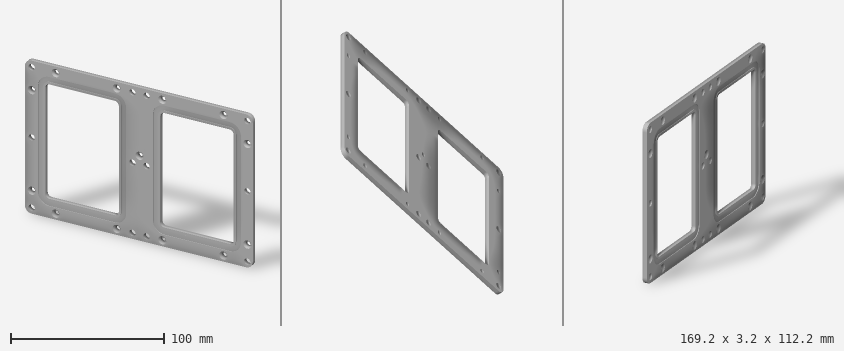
import cadquery as cq

plate_width = 169.2
plate_height = 112.2
plate_thickness = 3.2
plate_corner_radius = 5.0
front_y = -plate_thickness / 2

window_width = 54.5
window_height = 84.0
window_corner_radius = 3.0
window_offset_x = 42.6
rim_width = 1.7
groove_width = 3.7
groove_depth = 0.5

pattern_x = 0.5
hole_pattern_z = -0.2

hole_diameter = 4.5
screw_diameter = 3.4
countersink_diameter = 6.0
countersink_angle = 90.0
hole_inset = 4.5
column_x = plate_width / 2 - hole_inset
row_z = plate_height / 2 - hole_inset
middle_column_x = 5.2
screw_inner_x = 17.0
screw_outer_x = 62.3
screw_side_z = 36.9
screw_side_shift_z = -2.2
center_screw_z = 6.3


def rounded_block(width, height, radius, depth, center_x=0.0):
    """Block with rounded corners, reaching from the front face back by depth."""
    return (
        cq.Workplane("XY")
        .box(width, depth, height)
        .edges("|Y")
        .fillet(radius)
        .translate((center_x, front_y + depth / 2, 0))
    )


def window_block(margin, depth, center_x):
    """Window outline grown by margin on every side."""
    return rounded_block(
        window_width + 2 * margin,
        window_height + 2 * margin,
        window_corner_radius + margin,
        depth,
        center_x,
    )


def front_points(body, points):
    """Select drilling positions, given as (x, z), on the front face."""
    front_plane = cq.Workplane("XZ", origin=(pattern_x, front_y, hole_pattern_z))
    return body.copyWorkplane(front_plane).pushPoints(points)


result = rounded_block(plate_width, plate_height, plate_corner_radius, plate_thickness)

for center_x in (pattern_x - window_offset_x, pattern_x + window_offset_x):
    groove = window_block(rim_width + groove_width, groove_depth, center_x)
    groove = groove.cut(window_block(rim_width, groove_depth, center_x))
    result = result.cut(groove)
    result = result.cut(window_block(0, plate_thickness, center_x))

hole_points = [
    (x, z)
    for x in (-column_x, -middle_column_x, middle_column_x, column_x)
    for z in (-row_z, 0, row_z)
]
result = front_points(result, hole_points).hole(hole_diameter)

screw_points = [(0, center_screw_z)]
for side in (-1, 1):
    for end in (-1, 1):
        screw_points.append((side * screw_inner_x, end * row_z))
        screw_points.append((side * screw_outer_x, end * row_z))
        screw_points.append((side * column_x, end * screw_side_z + screw_side_shift_z))
result = front_points(result, screw_points).cskHole(
    screw_diameter, countersink_diameter, countersink_angle
)